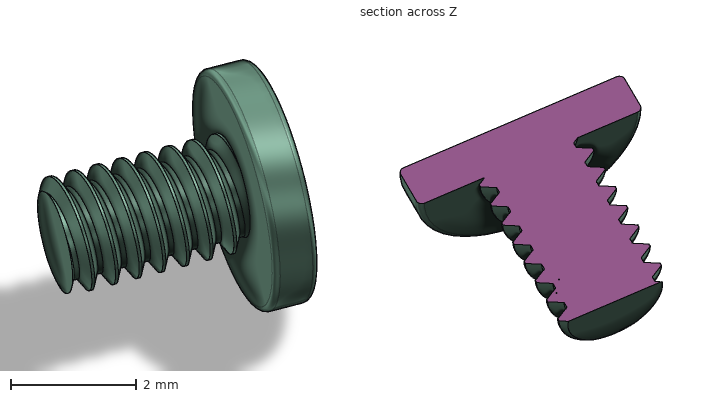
import cadquery as cq
import math


head_diameter = 4.0
head_height = 0.75
head_edge_radius = 0.1

shank_length = 3.0
major_diameter = 1.93
minor_diameter = 1.48
pitch = 0.4
flank_angle = math.radians(30)

major_radius = major_diameter / 2
minor_radius = minor_diameter / 2
crest_width = pitch / 8
flank_width = (major_radius - minor_radius) * math.tan(flank_angle)
root_width = pitch - crest_width - 2 * flank_width

cutter_overreach = 0.05
cutter_outer_radius = major_radius + cutter_overreach
cutter_outer_width = root_width + 2 * (cutter_outer_radius - minor_radius) * math.tan(flank_angle)
spare_turns = 2
spare_length = spare_turns * pitch

groove_offset = pitch / 4


def make_head():
    """Disc with both rims rounded."""
    disc = cq.Workplane("XZ").circle(head_diameter / 2).extrude(-head_height)
    return disc.faces("<Y or >Y").edges().fillet(head_edge_radius)


def make_groove_cutter():
    """Helical groove around Z, for a shank whose tip lies at Z = 0."""
    start = groove_offset - spare_length
    helix = cq.Wire.makeHelix(pitch, shank_length + 2 * spare_length, minor_radius)
    profile = (
        cq.Workplane("XZ")
        .moveTo(minor_radius, -root_width / 2)
        .lineTo(cutter_outer_radius, -cutter_outer_width / 2)
        .lineTo(cutter_outer_radius, cutter_outer_width / 2)
        .lineTo(minor_radius, root_width / 2)
        .close()
    )
    cutter = profile.sweep(cq.Workplane(helix), isFrenet=True)
    return cutter.translate((0, 0, start))


def make_shank():
    """Right-hand threaded rod from the tip to the underside of the head."""
    rod = cq.Workplane("XY").circle(major_radius).extrude(shank_length)
    threaded = rod.cut(make_groove_cutter())
    turned = threaded.rotate((0, 0, 0), (1, 0, 0), -90)
    return turned.translate((0, -shank_length, 0))


result = make_head().union(make_shank())